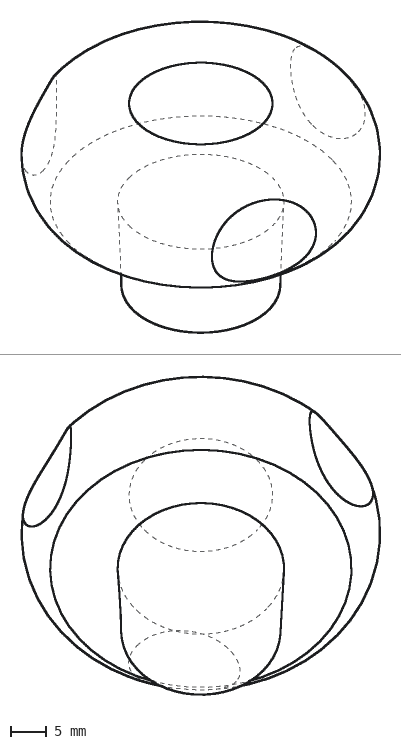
import cadquery as cq
import math

total_height = 33.0
stem_height = 15.0

head_radius = 25.0
tube_radius = 10.0
tube_center_radius = head_radius - tube_radius
tube_center_z = total_height - tube_radius
disc_radius = 10.0

stem_top_radius = 11.6
stem_draft_angle = 2.0
stem_bottom_radius = stem_top_radius - stem_height * math.tan(math.radians(stem_draft_angle))
stem_end_fillet = 1.0

scallop_radius = 25.0
scallop_depth = 2.5
scallop_angles = (90.0, 210.0, 340.0)


def make_head():
    underside_drop = tube_center_z - stem_height
    underside_radius = tube_center_radius + math.sqrt(tube_radius**2 - underside_drop**2)
    disc_offset = tube_center_radius - disc_radius
    disc_z = tube_center_z + math.sqrt(tube_radius**2 - disc_offset**2)
    profile = (
        cq.Workplane("XZ")
        .moveTo(0, stem_height)
        .lineTo(underside_radius, stem_height)
        .threePointArc((head_radius, tube_center_z), (disc_radius, disc_z))
        .lineTo(0, disc_z)
        .close()
    )
    return profile.revolve(360, (0, 0, 0), (0, 1, 0))


def make_stem():
    profile = (
        cq.Workplane("XZ")
        .lineTo(stem_bottom_radius, 0)
        .lineTo(stem_top_radius, stem_height)
        .lineTo(0, stem_height)
        .close()
    )
    stem = profile.revolve(360, (0, 0, 0), (0, 1, 0))
    return stem.faces("<Z").edges().fillet(stem_end_fillet)


def make_scallop_cutters():
    center_distance = head_radius - scallop_depth + scallop_radius
    centers = [
        (center_distance * math.cos(math.radians(a)), center_distance * math.sin(math.radians(a)))
        for a in scallop_angles
    ]
    return cq.Workplane("XY").pushPoints(centers).circle(scallop_radius).extrude(total_height)


result = make_head().cut(make_scallop_cutters()).union(make_stem())